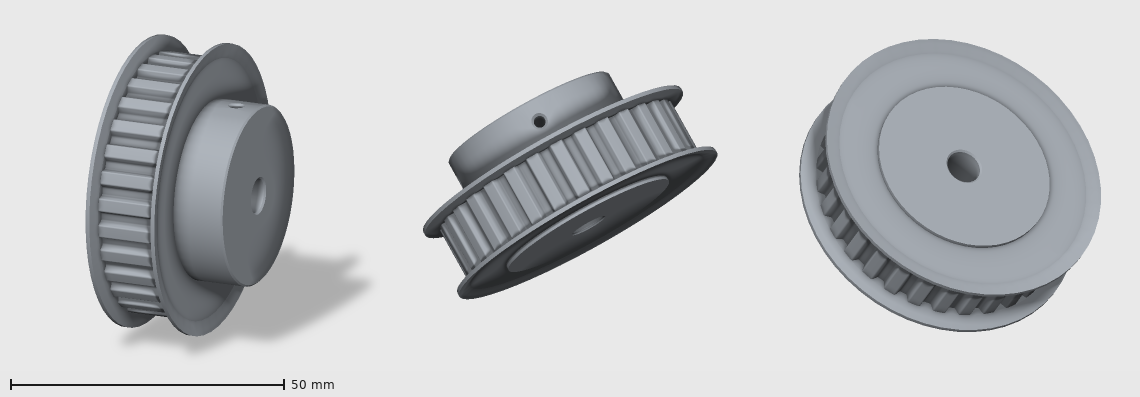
import cadquery as cq
import math


total_length = 23.0
hub_radius = 16.8
hub_chamfer = 0.3
bore_radius = 3.2
bore_chamfer = 0.3

tooth_count = 30
tip_radius = 24.2
belt_width = 11.0
belt_start = 1.55
groove_depth = 1.4
groove_floor_width = 1.45
groove_flank_angle = 25.0
groove_floor_fillet = 0.4
tooth_tip_fillet = 0.3

flange_radius = 27.0
flange_bend_radius = 24.3
flange_thickness = 0.75
flange_dish = 0.6

screw_angles = (0, -90)
screw_x = 18.6
screw_radius = 1.1
screw_mouth_radius = 1.55

belt_end = belt_start + belt_width
overcut = 0.55
axis_start = (0, 0, 0)
axis_end = (1, 0, 0)


def disc(radius, start, end):
    """Solid cylinder on the X axis between two X positions."""
    return cq.Workplane("YZ").workplane(offset=start).circle(radius).extrude(end - start)


def hub():
    """Full-length hub cylinder, chamfered on its +X end."""
    body = disc(hub_radius, 0, total_length)
    return body.faces(">X").edges().chamfer(hub_chamfer)


def groove():
    """Trapezoidal belt groove, centred on +Y, with rounded floor corners."""
    floor_radius = tip_radius - groove_depth
    slope = math.tan(math.radians(groove_flank_angle))
    half_floor = groove_floor_width / 2
    half_top = half_floor + (groove_depth + overcut) * slope
    top = tip_radius + overcut
    outline = [(floor_radius, -half_floor), (floor_radius, half_floor), (top, half_top), (top, -half_top)]
    cutter = cq.Workplane("YZ").workplane(offset=belt_start).polyline(outline).close().extrude(belt_width)
    return cutter.edges("|X and <Y").fillet(groove_floor_fillet)


def toothed_rim():
    """Belt cylinder with evenly spaced grooves, one centred on +Y, and rounded tooth tips."""
    rim = disc(tip_radius, belt_start, belt_end)
    cutter = groove()
    for index in range(tooth_count):
        rim = rim.cut(cutter.rotate(axis_start, axis_end, index * 360 / tooth_count))
    near_tip = tip_radius - groove_depth / 4
    tip_edges = [
        edge for edge in rim.edges("|X").vals()
        if math.hypot(edge.Center().y, edge.Center().z) > near_tip
    ]
    return rim.newObject(tip_edges).fillet(tooth_tip_fillet)


def flange(inner_x, outward):
    """Dished disc lying on the belt edge at inner_x; outward is the X direction away from the belt."""
    outer_x = inner_x + outward * flange_thickness
    dish = outward * flange_dish
    section = [
        (inner_x, 0),
        (inner_x, flange_bend_radius),
        (inner_x + dish, flange_radius),
        (outer_x + dish, flange_radius),
        (outer_x, flange_bend_radius),
        (outer_x, 0),
    ]
    return cq.Workplane("XY").polyline(section).close().revolve(360, axis_start, axis_end)


def bore():
    """Through bore with a chamfer at both ends."""
    mouth = bore_radius + bore_chamfer
    section = [
        (0, 0),
        (0, mouth),
        (bore_chamfer, bore_radius),
        (total_length - bore_chamfer, bore_radius),
        (total_length, mouth),
        (total_length, 0),
    ]
    return cq.Workplane("XY").polyline(section).close().revolve(360, axis_start, axis_end)


def screw_hole(angle):
    """Radial hole from the hub surface into the bore, countersunk at the mouth."""
    countersink = screw_mouth_radius - screw_radius
    section = [
        (0, 0),
        (screw_radius, 0),
        (screw_radius, hub_radius - countersink),
        (screw_mouth_radius, hub_radius),
        (screw_mouth_radius, hub_radius + overcut),
        (0, hub_radius + overcut),
    ]
    cutter = cq.Workplane("XZ").polyline(section).close().revolve(360, (0, 0, 0), (0, 1, 0))
    return cutter.translate((screw_x, 0, 0)).rotate(axis_start, axis_end, angle)


result = (
    hub()
    .union(toothed_rim())
    .union(flange(belt_start, -1))
    .union(flange(belt_end, 1))
    .cut(bore())
)
for screw_angle in screw_angles:
    result = result.cut(screw_hole(screw_angle))